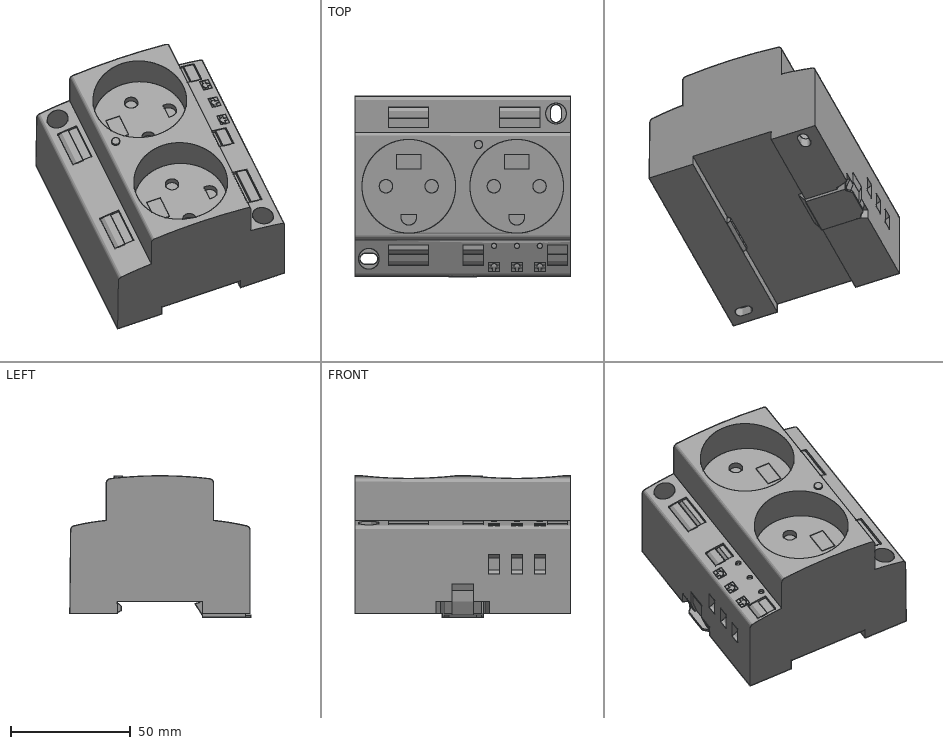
import cadquery as cq

LENGTH = 90.0
FRONT_Y = -37.6
BACK_Y = 37.6
BACK_DRAFT = 0.4
SHOULDER_OUTER_Z = 36.3
SHOULDER_INNER_Z = 38.9
SHOULDER_BULGE = 0.3
BLOCK_HALF_DEPTH = 22.4
BLOCK_EDGE_Z = 56.1
TOP_Z = 57.5
EDGE_ROUND = 2.0
OVERCUT = 0.9

CHANNEL_Y = 17.7
CHANNEL_HEIGHT = 4.95
CLIP_HALF_WIDTH = 8.6
RAIL_INNER_X = 7.8
CLIP_BOTTOM_Z = -1.6
CLIP_FRONT_Y = -37.9
PLATE_FRONT_Y = -35.7
TAB_TOP_Z = -0.6
TAB_TIP_HALF_WIDTH = 5.7
NOTCH_DEPTH = 5.4
NOTCH_HALF_WIDTH = 11.2
NOTCH_INNER_HALF_WIDTH = 9.3
HOOK_REACH = 1.6
HOOK_LOW_Z = 0.4
HOOK_TOP_Z = 4.1
HOOK_TOP_FLAT = 0.5
HOOK_NOSE_TOP_Z = 3.1
HOOK_NOSE_LOW_Z = 1.3
LATCH_REACH = 3.15
LATCH_ROOT = 1.2
LATCH_SHOULDER_Z = 4.7
THUMB_HALF_WIDTH = 4.4
THUMB_TOP_Z = 12.3
THUMB_CEILING_Z = 9.5
THUMB_DEPTH = 1.1
FOOT_RAMP_RUN = 1.7

SOCKET_SPACING = 45.0
SOCKET_RADIUS = 19.5
SOCKET_FLOOR_Z = 42.3
PIN_OFFSET = 9.5
PIN_RADIUS = 2.8
PIN_DEPTH = 2.7
EARTH_RADIUS = 3.2
EARTH_CENTER_Y = -13.0
EARTH_FLAT_Y = -11.8
WINDOW_WIDTH = 10.2
WINDOW_HEIGHT = 6.1
WINDOW_CENTER_Y = 10.2
WINDOW_DEPTH = 0.2
BUTTON_X = 6.6
BUTTON_Y = 17.4
BUTTON_RADIUS = 1.7
BUTTON_TOP_Z = 57.4

MOUNT_HOLES = [(-39.15, -30.2, 0), (38.9, 30.3, 90)]
MOUNT_RADIUS = 4.3
MOUNT_FLOOR_Z = CHANNEL_HEIGHT
MOUNT_SLOT_LENGTH = 7.4
MOUNT_SLOT_WIDTH = 4.5

POCKETS = [
    (-30.9, -14.3, -1, True),
    (0.0, 8.55, -1, True),
    (35.3, 43.7, -1, False),
    (-30.9, -14.3, 1, False),
    (15.3, 32.1, 1, False),
]
POCKET_INNER_Y = 24.6
POCKET_CREASE_Y = 26.6
POCKET_STEP_Y = 28.2
POCKET_RIDGE_Y = 31.2
POCKET_OUTER_Y = 33.1
POCKET_WALL_RUN = 0.3
POCKET_DEPTH = 1.2
POCKET_CREASE_DEPTH = 1.0
POCKET_STEP_FOOT_DEPTH = 1.6
POCKET_STEP_DEPTH = 0.45
POCKET_LIP_DEPTH = 0.9

TERMINAL_PITCH = 9.5
TERMINAL_FIRST_X = 13.05
TERMINAL_XS = [TERMINAL_FIRST_X + i * TERMINAL_PITCH for i in range(3)]
TERMINAL_WIDTH = 4.6
ENTRY_BOTTOM_Z = 16.6
ENTRY_TOP_Z = 24.7
ENTRY_DEPTH = 2.7
ENTRY_LIP = 1.1
ENTRY_LIP_RISE = 0.4
ENTRY_SLOPE_RISE = 1.5
SCREW_INNER_Y = -31.8
SCREW_OUTER_Y = -35.6
SCREW_CENTER_Y = -33.5
SCREW_RADIUS = 1.3
SCREW_SLOT_WIDTH = 1.2
SCREW_DEPTH = 0.3
SCREW_BAND_DEPTH = 0.5
SCREW_BAND_INNER_Y = -32.8
SCREW_BAND_OUTER_Y = -34.1
LAMP_Y = -24.8
LAMP_RADIUS = 1.1
LAMP_DEPTH = 1.35


def extrude_x(points, x_start, x_end):
    """Prism along X from a (y, z) outline."""
    outline = cq.Workplane("YZ", origin=(x_start, 0, 0)).polyline(points).close()
    return outline.extrude(x_end - x_start)


def box(x_start, x_end, y_start, y_end, z_start, z_end):
    size = (x_end - x_start, y_end - y_start, z_end - z_start)
    return cq.Workplane().box(*size, centered=False).translate((x_start, y_start, z_start))


def cylinder(x, y, z_start, z_end, radius):
    return cq.Workplane(origin=(x, y, z_start)).circle(radius).extrude(z_end - z_start)


def shoulder_z(distance):
    """Height of a straight line along the top of the shoulder bulge, by distance from the middle plane."""
    slope = (SHOULDER_INNER_Z - SHOULDER_OUTER_Z) / (-FRONT_Y - BLOCK_HALF_DEPTH)
    return SHOULDER_INNER_Z + SHOULDER_BULGE - slope * (distance - BLOCK_HALF_DEPTH)


def make_housing():
    back_top_y = BACK_Y - BACK_DRAFT
    middle_y = (BLOCK_HALF_DEPTH - FRONT_Y) / 2
    middle_z = (SHOULDER_INNER_Z + SHOULDER_OUTER_Z) / 2 + SHOULDER_BULGE
    body = (
        cq.Workplane("YZ", origin=(-LENGTH / 2, 0, 0))
        .moveTo(FRONT_Y, 0)
        .lineTo(FRONT_Y, SHOULDER_OUTER_Z)
        .threePointArc((-middle_y, middle_z), (-BLOCK_HALF_DEPTH, SHOULDER_INNER_Z))
        .lineTo(-BLOCK_HALF_DEPTH, BLOCK_EDGE_Z)
        .threePointArc((0, TOP_Z), (BLOCK_HALF_DEPTH, BLOCK_EDGE_Z))
        .lineTo(BLOCK_HALF_DEPTH, SHOULDER_INNER_Z)
        .threePointArc((middle_y, middle_z), (back_top_y, SHOULDER_OUTER_Z))
        .lineTo(BACK_Y, 0)
        .lineTo(CHANNEL_Y, 0)
        .lineTo(CHANNEL_Y, CHANNEL_HEIGHT)
        .lineTo(-CHANNEL_Y, CHANNEL_HEIGHT)
        .lineTo(-CHANNEL_Y, 0)
        .close()
        .extrude(LENGTH)
    )
    corners = [
        (FRONT_Y, SHOULDER_OUTER_Z),
        (-BLOCK_HALF_DEPTH, BLOCK_EDGE_Z),
        (BLOCK_HALF_DEPTH, BLOCK_EDGE_Z),
        (back_top_y, SHOULDER_OUTER_Z),
    ]
    for y, z in corners:
        body = body.edges(cq.selectors.NearestToPointSelector((0, y, z))).fillet(EDGE_ROUND)
    return body


def make_socket(x):
    """Cutter for one round socket with its pin holes, earth hole and window."""
    floor = SOCKET_FLOOR_Z
    cutter = cylinder(x, 0, floor, TOP_Z + OVERCUT, SOCKET_RADIUS)
    for side in (-1, 1):
        cutter = cutter.union(cylinder(x + side * PIN_OFFSET, 0, floor - PIN_DEPTH, floor, PIN_RADIUS))
    earth = (
        cq.Workplane(origin=(x, 0, floor - PIN_DEPTH))
        .moveTo(-EARTH_RADIUS, EARTH_FLAT_Y)
        .lineTo(-EARTH_RADIUS, EARTH_CENTER_Y)
        .threePointArc((0, EARTH_CENTER_Y - EARTH_RADIUS), (EARTH_RADIUS, EARTH_CENTER_Y))
        .lineTo(EARTH_RADIUS, EARTH_FLAT_Y)
        .close()
        .extrude(PIN_DEPTH)
    )
    window = (
        cq.Workplane(origin=(x, WINDOW_CENTER_Y, floor - WINDOW_DEPTH))
        .rect(WINDOW_WIDTH, WINDOW_HEIGHT)
        .extrude(WINDOW_DEPTH)
    )
    return cutter.union(earth).union(window)


def make_mount_hole(x, y, angle):
    """Cutter for a deep round well with an obround hole through its floor."""
    well = cylinder(x, y, MOUNT_FLOOR_Z, TOP_Z, MOUNT_RADIUS)
    slot = (
        cq.Workplane(origin=(x, y, -OVERCUT))
        .slot2D(MOUNT_SLOT_LENGTH, MOUNT_SLOT_WIDTH, angle)
        .extrude(MOUNT_FLOOR_Z + OVERCUT)
    )
    return well.union(slot)


def make_pocket(x_start, x_end, side, creased):
    """Cutter for a stepped pocket in the front (side -1) or back (side 1) shoulder."""
    rear_floor = [(POCKET_INNER_Y, POCKET_DEPTH)]
    if creased:
        rear_floor.append((POCKET_CREASE_Y, POCKET_CREASE_DEPTH))
        rear_floor.append((POCKET_STEP_Y, POCKET_STEP_FOOT_DEPTH))
    else:
        rear_floor.append((POCKET_STEP_Y, POCKET_DEPTH))
    outline = rear_floor + [
        (POCKET_STEP_Y + POCKET_WALL_RUN, POCKET_STEP_DEPTH),
        (POCKET_RIDGE_Y, POCKET_STEP_DEPTH),
        (POCKET_OUTER_Y - POCKET_WALL_RUN, POCKET_LIP_DEPTH),
        (POCKET_OUTER_Y, POCKET_STEP_FOOT_DEPTH),
        (POCKET_OUTER_Y, -OVERCUT),
        (POCKET_INNER_Y, -OVERCUT),
    ]
    points = [(side * y, shoulder_z(y) - depth) for y, depth in outline]
    return extrude_x(points, x_start, x_end)


def sunken_strip(x_start, x_end, y_inner, y_outer, depth):
    """Cutter with a floor parallel to the front shoulder."""
    points = [
        (y_inner, shoulder_z(-y_inner) - depth),
        (y_outer, shoulder_z(-y_outer) - depth),
        (y_outer, shoulder_z(-y_outer) + OVERCUT),
        (y_inner, shoulder_z(-y_inner) + OVERCUT),
    ]
    return extrude_x(points, x_start, x_end)


def make_wire_entry(x):
    """Cutter for a wire opening in the front wall with sloping floor and ceiling."""
    deep_y = FRONT_Y + ENTRY_DEPTH
    points = [
        (FRONT_Y, ENTRY_BOTTOM_Z),
        (FRONT_Y + ENTRY_LIP, ENTRY_BOTTOM_Z + ENTRY_LIP_RISE),
        (deep_y, ENTRY_BOTTOM_Z + ENTRY_SLOPE_RISE),
        (deep_y, ENTRY_TOP_Z - ENTRY_SLOPE_RISE),
        (FRONT_Y, ENTRY_TOP_Z),
    ]
    return extrude_x(points, x - TERMINAL_WIDTH / 2, x + TERMINAL_WIDTH / 2)


def make_screw_recess(x):
    """Cutter for a shallow square with a cross band and a keyhole in its floor."""
    x_start = x - TERMINAL_WIDTH / 2
    x_end = x + TERMINAL_WIDTH / 2
    half_slot = SCREW_SLOT_WIDTH / 2
    square = sunken_strip(x_start, x_end, SCREW_INNER_Y, SCREW_OUTER_Y, SCREW_DEPTH)
    band = sunken_strip(x_start, x_end, SCREW_BAND_INNER_Y, SCREW_BAND_OUTER_Y, SCREW_BAND_DEPTH)
    slot = sunken_strip(x - half_slot, x + half_slot, SCREW_CENTER_Y, SCREW_OUTER_Y, SCREW_BAND_DEPTH)
    surface_z = shoulder_z(-SCREW_CENTER_Y)
    round_end = cylinder(x, SCREW_CENTER_Y, surface_z - SCREW_BAND_DEPTH, surface_z, SCREW_RADIUS)
    return square.union(band).union(slot).union(round_end)


def make_lamp_hole(x):
    surface_z = shoulder_z(-LAMP_Y)
    return cylinder(x, LAMP_Y, surface_z - LAMP_DEPTH, surface_z + OVERCUT, LAMP_RADIUS)


def make_clip_notch():
    """Cutter for the notch in the front foot, leaving a ramped block between the clip rails."""
    back_y = FRONT_Y + NOTCH_DEPTH
    outline = [
        (-NOTCH_HALF_WIDTH, FRONT_Y),
        (-NOTCH_INNER_HALF_WIDTH, back_y),
        (NOTCH_INNER_HALF_WIDTH, back_y),
        (NOTCH_HALF_WIDTH, FRONT_Y),
    ]
    notch = cq.Workplane().polyline(outline).close().extrude(CHANNEL_HEIGHT)
    ramped_block = extrude_x(
        [
            (FRONT_Y, CHANNEL_HEIGHT),
            (FRONT_Y + FOOT_RAMP_RUN, 0),
            (back_y, 0),
            (back_y, CHANNEL_HEIGHT),
        ],
        -RAIL_INNER_X,
        RAIL_INNER_X,
    )
    return notch.cut(ramped_block)


def make_clip():
    """Rail clip: a plate under the front foot with two side rails, a pull tab and a latch."""
    plate = box(-CLIP_HALF_WIDTH, CLIP_HALF_WIDTH, PLATE_FRONT_Y, -CHANNEL_Y, CLIP_BOTTOM_Z, 0)
    notch_back_y = FRONT_Y + NOTCH_DEPTH
    right_rail = box(RAIL_INNER_X, CLIP_HALF_WIDTH, PLATE_FRONT_Y, notch_back_y, 0, CHANNEL_HEIGHT)
    left_rail = right_rail.mirror("YZ")
    tab = (
        cq.Workplane(origin=(0, 0, CLIP_BOTTOM_Z))
        .polyline(
            [
                (-RAIL_INNER_X, PLATE_FRONT_Y),
                (-TAB_TIP_HALF_WIDTH, CLIP_FRONT_Y),
                (TAB_TIP_HALF_WIDTH, CLIP_FRONT_Y),
                (RAIL_INNER_X, PLATE_FRONT_Y),
            ]
        )
        .close()
        .extrude(TAB_TOP_Z - CLIP_BOTTOM_Z)
    )
    latch = extrude_x(
        [
            (-CHANNEL_Y, CHANNEL_HEIGHT),
            (-CHANNEL_Y + LATCH_ROOT, CHANNEL_HEIGHT),
            (-CHANNEL_Y + LATCH_ROOT, LATCH_SHOULDER_Z),
            (-CHANNEL_Y + LATCH_REACH, HOOK_TOP_Z),
            (-CHANNEL_Y, CLIP_BOTTOM_Z / 2),
        ],
        -CLIP_HALF_WIDTH,
        CLIP_HALF_WIDTH,
    )
    return plate.union(right_rail).union(left_rail).union(tab).union(latch)


def make_thumb_recess():
    """Cutter for the finger recess above the pull tab."""
    points = [
        (FRONT_Y, THUMB_TOP_Z),
        (FRONT_Y + THUMB_DEPTH, THUMB_CEILING_Z),
        (FRONT_Y + THUMB_DEPTH, CHANNEL_HEIGHT),
        (FRONT_Y + THUMB_DEPTH + FOOT_RAMP_RUN, TAB_TOP_Z),
        (FRONT_Y, TAB_TOP_Z),
    ]
    return extrude_x(points, -THUMB_HALF_WIDTH, THUMB_HALF_WIDTH)


def make_back_hook():
    """Fixed hook on the back wall of the rail channel."""
    points = [
        (CHANNEL_Y, HOOK_TOP_Z),
        (CHANNEL_Y - HOOK_TOP_FLAT, HOOK_TOP_Z),
        (CHANNEL_Y - HOOK_REACH, HOOK_NOSE_TOP_Z),
        (CHANNEL_Y - HOOK_REACH, HOOK_NOSE_LOW_Z),
        (CHANNEL_Y, HOOK_LOW_Z),
    ]
    return extrude_x(points, -CLIP_HALF_WIDTH, CLIP_HALF_WIDTH)


result = make_housing()
for socket_side in (-1, 1):
    result = result.cut(make_socket(socket_side * SOCKET_SPACING / 2))
for hole_x, hole_y, slot_angle in MOUNT_HOLES:
    result = result.cut(make_mount_hole(hole_x, hole_y, slot_angle))
for pocket in POCKETS:
    result = result.cut(make_pocket(*pocket))
for terminal_x in TERMINAL_XS:
    result = result.cut(make_wire_entry(terminal_x))
    result = result.cut(make_screw_recess(terminal_x))
    result = result.cut(make_lamp_hole(terminal_x))
result = result.union(cylinder(BUTTON_X, BUTTON_Y, BLOCK_EDGE_Z, BUTTON_TOP_Z, BUTTON_RADIUS))
result = result.cut(make_clip_notch())
result = result.union(make_clip())
result = result.cut(make_thumb_recess())
result = result.union(make_back_hook())